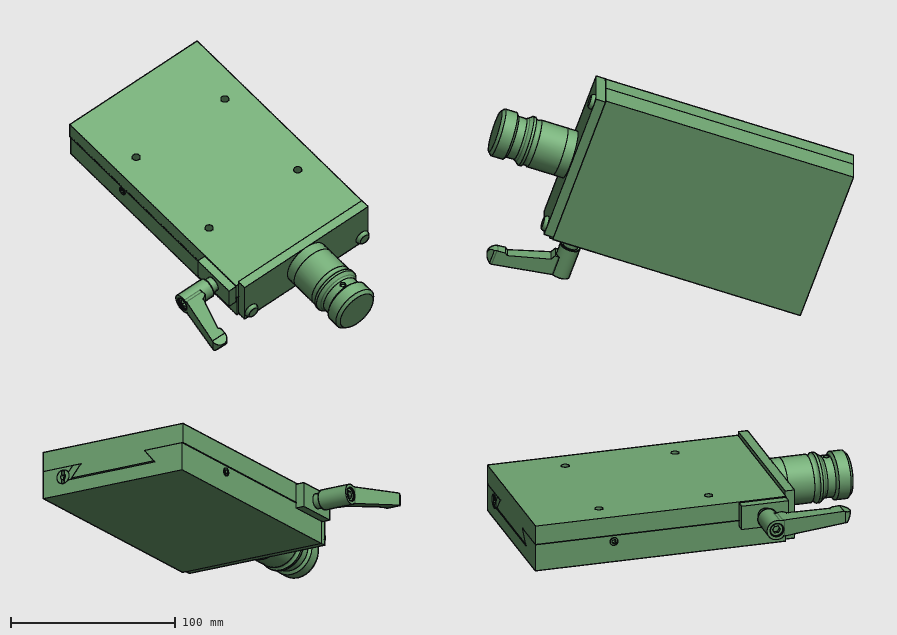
import cadquery as cq
import math

stage_length = 159.6
base_width = 100.0
base_height = 17.5
slide_height = 12.5
slide_overhang = 0.6
rear_y = base_width / 2
base_front_y = -base_width / 2
slide_front_y = base_front_y - slide_overhang
stage_top = base_height + slide_height

dovetail_angle = 50.0
dovetail_neck_half = 23.0
dovetail_depth = 8.0
groove_clearance = 0.9
groove_depth = dovetail_depth + groove_clearance
gib_thickness = 5.8
gib_screw_y = 35.7
gib_screw_z = 11.5
gib_screw_diameter = 8.8
gib_screw_length = 6.5
gib_screw_bore = 3.5
gib_screw_bore_depth = 3.2
gib_screw_pilot = 1.8
gib_screw_pilot_depth = 5.0
gib_screw_slot_width = 2.1
gib_screw_slot_depth = 1.7

stud_x = 50.0
stud_z = 13.5
stud_diameter = 5.0
stud_projection = 0.6
stud_socket_diameter = 2.5
stud_socket_depth = 1.7

hole_diameter = 5.0
hole_pitch = 70.0
hole_centre_x = 80.0
hole_centre_y = -0.2

plate_thickness = 6.0
plate_width = 97.5
plate_height = 31.9
plate_end_x = stage_length + plate_thickness
drive_z = 17.8
drive_radius = 15.0
plate_top = drive_z + drive_radius
hub_length = 6.5
screw_spacing = 87.7
screw_z = 6.2
screw_head_radius = 4.7
screw_face_radius = 3.5
screw_dome_point = (1.7, 4.3)
screw_head_height = 2.5

knob_start_x = plate_end_x + hub_length
sleeve_end_x = 189.0
collar_start_x = 192.5
collar_end_x = 194.3
collar_radius = 15.6
collar_fillet_radius = 14.3
collar_back_x = 196.5
collar_back_radius = 14.0
neck_start_x = 198.0
neck_end_x = 203.0
neck_radius = 13.0
grip_start_x = 204.5
grip_chamfer = 2.0
knob_end_x = 214.0
lock_hole_x = 200.7
lock_hole_diameter = 3.5
lock_hole_depth = 2.1

clamp_length = 30.0
clamp_thickness = 5.5
clamp_height = 15.5
clamp_bottom = 14.0
clamp_front_y = slide_front_y - clamp_thickness
lever_x = stage_length - clamp_length / 2
lever_z = clamp_bottom + clamp_height / 2
stem_diameter = 9.5
stem_length = 4.5
barrel_diameter = 12.6
barrel_length = 20.1
barrel_start_y = clamp_front_y - stem_length
barrel_end_y = barrel_start_y - barrel_length
barrel_chamfer = 0.5
lever_recess_diameter = 8.0
lever_recess_depth = 1.0
lever_recess_chamfer = 0.5
lever_socket_size = 5.0
lever_socket_depth = 2.1

arm_root_y = -68.3
arm_root_corner = (151.7, arm_root_y)
arm_root_foot = (153.5, -71.5)
arm_heel = (178.5, -80.5)
arm_thumb_start = (180.0, -79.5)
arm_front_slope = 14.3
arm_front_start_x = 149.4
arm_tip_x = 184.7
arm_tip_back_y = -80.0
arm_tip_end = (189.8, -84.5)
arm_tip_front_x = 185.5
arm_bend = (148.5, 27.5)
arm_peak_z = 32.7
arm_nose_top = (189.8, 31.2)
arm_nose_middle = (189.8, 29.5)
arm_nose_bottom = (186.8, 25.0)
arm_under_tip = (185.3, 25.0)
arm_under_root = (149.5, 17.1)


def dovetail_side(depth):
    """Sideways growth of the dovetail at a depth below the top of the base."""
    return depth / math.tan(math.radians(dovetail_angle))


def along_x(points, length):
    """Prism along +X from a closed outline of (y, z) points."""
    return cq.Workplane("YZ").polyline(points).close().extrude(length)


def rod_along_y(x, z, start_y, end_y, diameter):
    """Cylinder towards -Y from start_y to end_y."""
    plane = cq.Workplane("XZ", origin=(x, start_y, z))
    return plane.circle(diameter / 2).extrude(start_y - end_y)


def make_gib_screw_blank():
    """Plain cylinder shared by the screw and the seat it fills."""
    plane = cq.Workplane("YZ", origin=(0, gib_screw_y, gib_screw_z))
    return plane.circle(gib_screw_diameter / 2).extrude(gib_screw_length)


def make_base():
    """Block with the guide groove, the stud tip on its front and the seat of the gib screw."""
    body = cq.Workplane("XY").box(stage_length, base_width, base_height, centered=(False, True, False))
    spread = dovetail_side(groove_depth)
    floor_z = base_height - groove_depth
    gib_side = dovetail_neck_half + gib_thickness
    groove = along_x(
        [
            (-dovetail_neck_half, base_height),
            (-dovetail_neck_half - spread, floor_z),
            (gib_side + spread, floor_z),
            (gib_side, base_height),
        ],
        stage_length,
    )
    stud = rod_along_y(stud_x, stud_z, base_front_y, base_front_y - stud_projection, stud_diameter)
    stud_face_y = base_front_y - stud_projection
    socket = rod_along_y(stud_x, stud_z, stud_face_y + stud_socket_depth, stud_face_y, stud_socket_diameter)
    return body.cut(groove).union(stud).cut(socket).cut(make_gib_screw_blank())


def make_gib():
    """Strip filling the groove beside the dovetail."""
    spread = dovetail_side(groove_depth)
    floor_z = base_height - groove_depth
    outline = [
        (dovetail_neck_half, base_height),
        (dovetail_neck_half + spread, floor_z),
        (dovetail_neck_half + gib_thickness + spread, floor_z),
        (dovetail_neck_half + gib_thickness, base_height),
    ]
    return along_x(outline, stage_length).cut(make_gib_screw_blank())


def make_gib_screw():
    """Flush screw with a slot and a stepped centre bore."""
    plane = cq.Workplane("YZ", origin=(0, gib_screw_y, gib_screw_z))
    slot = plane.rect(gib_screw_slot_width, gib_screw_diameter).extrude(gib_screw_slot_depth)
    bore = plane.circle(gib_screw_bore / 2).extrude(gib_screw_bore_depth)
    pilot = plane.circle(gib_screw_pilot / 2).extrude(gib_screw_pilot_depth)
    return make_gib_screw_blank().cut(slot).cut(bore).cut(pilot)


def make_slide():
    """Top plate with its dovetail and four mounting holes."""
    spread = dovetail_side(dovetail_depth)
    bottom_z = base_height - dovetail_depth
    outline = [
        (slide_front_y, stage_top),
        (slide_front_y, base_height),
        (-dovetail_neck_half, base_height),
        (-dovetail_neck_half - spread, bottom_z),
        (dovetail_neck_half + spread, bottom_z),
        (dovetail_neck_half, base_height),
        (rear_y, base_height),
        (rear_y, stage_top),
    ]
    holes = (
        cq.Workplane("XY", origin=(hole_centre_x, hole_centre_y, base_height))
        .rarray(hole_pitch, hole_pitch, 2, 2)
        .circle(hole_diameter / 2)
        .extrude(slide_height)
    )
    return along_x(outline, stage_length).cut(holes)


def make_screw_head(y):
    """Domed head on the outer face of the bearing plate."""
    profile = (
        cq.Workplane("XY")
        .lineTo(0, screw_head_radius)
        .threePointArc(screw_dome_point, (screw_head_height, screw_face_radius))
        .lineTo(screw_head_height, 0)
        .close()
    )
    head = profile.revolve(360, (0, 0, 0), (1, 0, 0))
    return head.translate((plate_end_x, y, screw_z))


def make_bearing_plate():
    """End plate carrying the knob hub and two screw heads."""
    plate = cq.Workplane("XY").box(
        plate_thickness, plate_width, plate_height, centered=(False, True, False)
    ).translate((stage_length, 0, plate_top - plate_height))
    hub = cq.Workplane("YZ", origin=(plate_end_x, 0, drive_z)).circle(drive_radius).extrude(hub_length)
    body = plate.union(hub)
    for side in (-1, 1):
        body = body.union(make_screw_head(side * screw_spacing / 2))
    return body


def make_knob():
    """Turned knob with a collar, a neck and a lock hole."""
    fillet_mid_x = (sleeve_end_x + collar_start_x) / 2
    profile = (
        cq.Workplane("XY")
        .moveTo(knob_start_x, 0)
        .lineTo(knob_start_x, drive_radius)
        .lineTo(sleeve_end_x, drive_radius)
        .threePointArc((fillet_mid_x, collar_fillet_radius), (collar_start_x, collar_radius))
        .lineTo(collar_end_x, collar_radius)
        .lineTo(collar_back_x, collar_back_radius)
        .lineTo(neck_start_x, neck_radius)
        .lineTo(neck_end_x, neck_radius)
        .lineTo(grip_start_x, drive_radius)
        .lineTo(knob_end_x - grip_chamfer, drive_radius)
        .lineTo(knob_end_x, drive_radius - grip_chamfer)
        .lineTo(knob_end_x, 0)
        .close()
    )
    knob = profile.revolve(360, (0, 0, 0), (1, 0, 0)).translate((0, 0, drive_z))
    lock_hole = (
        cq.Workplane("XY", origin=(lock_hole_x, 0, drive_z + neck_radius - lock_hole_depth))
        .circle(lock_hole_diameter / 2)
        .extrude(drive_radius)
    )
    return knob.cut(lock_hole)


def make_clamp_plate():
    """Block on the front of the slide, hanging past its lower edge."""
    plate = cq.Workplane("XY").box(clamp_length, clamp_thickness, clamp_height, centered=False)
    return plate.translate((stage_length - clamp_length, clamp_front_y, clamp_bottom))


def make_lever_arm():
    """Arm shaped by its plan outline and its side outline together."""
    front_drop = (arm_tip_front_x - arm_front_start_x) * math.tan(math.radians(arm_front_slope))
    arm_tip_front = (arm_tip_front_x, barrel_end_y - front_drop)
    plan = (
        cq.Workplane("XY")
        .moveTo(lever_x, arm_root_y)
        .lineTo(*arm_root_corner)
        .lineTo(*arm_root_foot)
        .lineTo(*arm_heel)
        .lineTo(*arm_thumb_start)
        .lineTo(arm_tip_x, arm_tip_back_y)
        .threePointArc(arm_tip_end, arm_tip_front)
        .lineTo(arm_front_start_x, barrel_end_y)
        .lineTo(lever_x, barrel_end_y)
        .close()
        .extrude(2 * stage_top)
    )
    side = (
        cq.Workplane("XZ")
        .polyline([
            (lever_x, arm_bend[1]),
            arm_bend,
            (arm_tip_x, arm_peak_z),
            arm_nose_top,
            arm_nose_middle,
            arm_nose_bottom,
            arm_under_tip,
            arm_under_root,
            (lever_x, arm_under_root[1]),
        ])
        .close()
        .extrude(base_width)
    )
    return plan.intersect(side)


def make_lever():
    """Clamping lever: stem, barrel with a socketed end, and arm."""
    stem = rod_along_y(lever_x, lever_z, clamp_front_y, barrel_start_y, stem_diameter)
    barrel = rod_along_y(lever_x, lever_z, barrel_start_y, barrel_end_y, barrel_diameter)
    barrel = barrel.faces(">Y").chamfer(barrel_chamfer)
    recess_floor_y = barrel_end_y + lever_recess_depth
    recess = rod_along_y(lever_x, lever_z, recess_floor_y, barrel_end_y, lever_recess_diameter)
    recess_rim = (
        cq.Workplane("XZ", origin=(lever_x, barrel_end_y, lever_z))
        .circle(lever_recess_diameter / 2 + lever_recess_chamfer)
        .workplane(offset=-lever_recess_chamfer)
        .circle(lever_recess_diameter / 2)
        .loft()
    )
    socket = (
        cq.Workplane("XZ", origin=(lever_x, recess_floor_y + lever_socket_depth, lever_z))
        .polygon(6, lever_socket_size)
        .extrude(lever_socket_depth)
    )
    return stem.union(barrel).union(make_lever_arm()).cut(recess).cut(recess_rim).cut(socket)


base = make_base()
slide = make_slide()
gib = make_gib()
gib_screw = make_gib_screw()
bearing_plate = make_bearing_plate()
knob = make_knob()
clamp_plate = make_clamp_plate()
lever = make_lever()

result = cq.Compound.makeCompound([
    base.val(),
    slide.val(),
    gib.val(),
    gib_screw.val(),
    bearing_plate.val(),
    knob.val(),
    clamp_plate.val(),
    lever.val(),
])